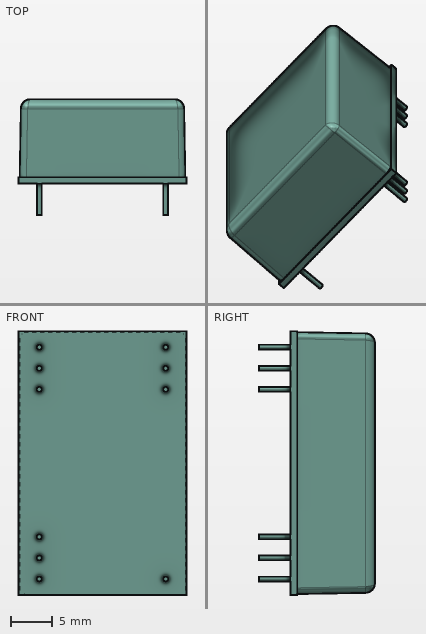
import cadquery as cq

plate_width = 20.3
plate_height = 31.84
plate_thickness = 0.8

overall_depth = 14.0
pin_length = 3.8
case_width = 20.0
case_height = 31.6
case_depth = overall_depth - pin_length - plate_thickness
draft_angle = 1.0
corner_radius = 0.8
top_radius = 1.2

pin_diameter = 0.6
pin_pitch = 2.54
column_x = 3 * pin_pitch
left_rows = (-5.5, -4.5, -3.5, 3.5, 4.5, 5.5)
right_rows = (-5.5, 3.5, 4.5, 5.5)


def rear_plane(y):
    """Sketch plane at depth y, facing +Y, with local x along -X and local y along +Z."""
    return cq.Workplane(cq.Plane(origin=(0, y, 0), xDir=(-1, 0, 0), normal=(0, 1, 0)))


def make_plate():
    """Flat base plate with its pin face at y = 0."""
    return rear_plane(0).rect(plate_width, plate_height).extrude(plate_thickness)


def make_case():
    """Drafted box with rounded corners and a rounded closed end."""
    case = rear_plane(plate_thickness).rect(case_width, case_height).extrude(case_depth, taper=draft_angle)
    case = case.faces(">Y").edges().fillet(top_radius)
    corner_edges = case.edges("not(#Y or |X or |Z)")
    return corner_edges.fillet(corner_radius)


def make_pins(x, rows):
    """Column of round pins at x; rows are given in pitches from the centre."""
    points = [(-x, row * pin_pitch) for row in rows]
    return rear_plane(-pin_length).pushPoints(points).circle(pin_diameter / 2).extrude(pin_length)


result = (
    make_plate()
    .union(make_case())
    .union(make_pins(-column_x, left_rows))
    .union(make_pins(column_x, right_rows))
)